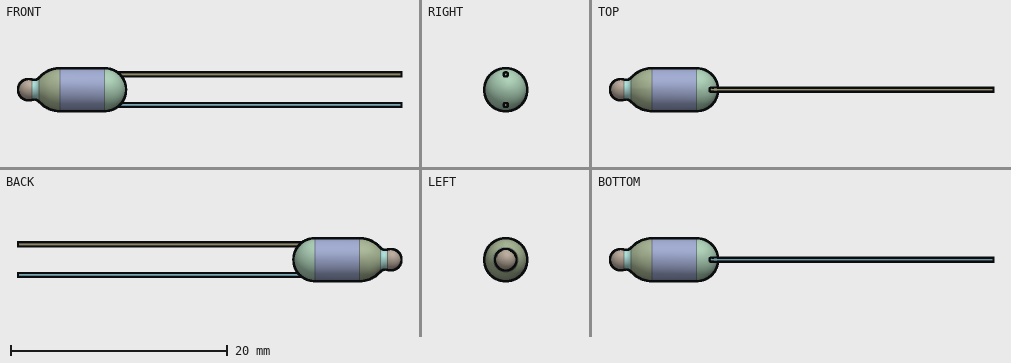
import cadquery as cq
import math

overall_length = 35.4
bulb_length = 10.0
bulb_radius = 2.0

tip_radius = 1.0
neck_start_x = 1.32
shoulder_end_x = 3.87
shoulder_arc_radius = 2.5

lead_diameter = 0.4
lead_spacing = 2.83

rear_dome_x = bulb_length - bulb_radius


def neck_arc():
    """Start, middle and end of the neck arc, tangent to both the ball and the shoulder arc.

    Its centre lies on the ray from the ball centre through the neck start, where the
    distance to the shoulder centre is the sum of the neck and shoulder radii.
    """
    ball_x = tip_radius
    shoulder_center_r = bulb_radius - shoulder_arc_radius
    ray_x = (neck_start_x - ball_x) / tip_radius
    ray_r = math.sqrt(1 - ray_x**2)
    start_r = tip_radius * ray_r
    gap_x = neck_start_x - shoulder_end_x
    gap_r = start_r - shoulder_center_r
    gap_along_ray = gap_x * ray_x + gap_r * ray_r
    gap_squared = gap_x**2 + gap_r**2
    neck_radius = (gap_squared - shoulder_arc_radius**2) / (2 * (shoulder_arc_radius - gap_along_ray))

    center_x = neck_start_x + neck_radius * ray_x
    center_r = start_r + neck_radius * ray_r
    share = shoulder_arc_radius / (shoulder_arc_radius + neck_radius)
    end_x = shoulder_end_x + share * (center_x - shoulder_end_x)
    end_r = shoulder_center_r + share * (center_r - shoulder_center_r)
    lowest = (center_x, center_r - neck_radius)
    return (neck_start_x, start_r), lowest, (end_x, end_r)


def make_bulb():
    """Glass envelope: half profile revolved about the X axis."""
    neck_start, neck_lowest, neck_end = neck_arc()
    return (
        cq.Workplane("XZ")
        .moveTo(0, 0)
        .threePointArc((tip_radius, tip_radius), neck_start)
        .threePointArc(neck_lowest, neck_end)
        .radiusArc((shoulder_end_x, bulb_radius), shoulder_arc_radius)
        .lineTo(rear_dome_x, bulb_radius)
        .radiusArc((bulb_length, 0), bulb_radius)
        .close()
        .revolve(360, (0, 0, 0), (1, 0, 0))
    )


def make_lead(z):
    """Straight wire from inside the rear dome to the far end."""
    return (
        cq.Workplane("YZ", origin=(rear_dome_x, 0, z))
        .circle(lead_diameter / 2)
        .extrude(overall_length - rear_dome_x)
    )


result = make_bulb()
for side in (-1, 1):
    result = result.union(make_lead(side * lead_spacing / 2))